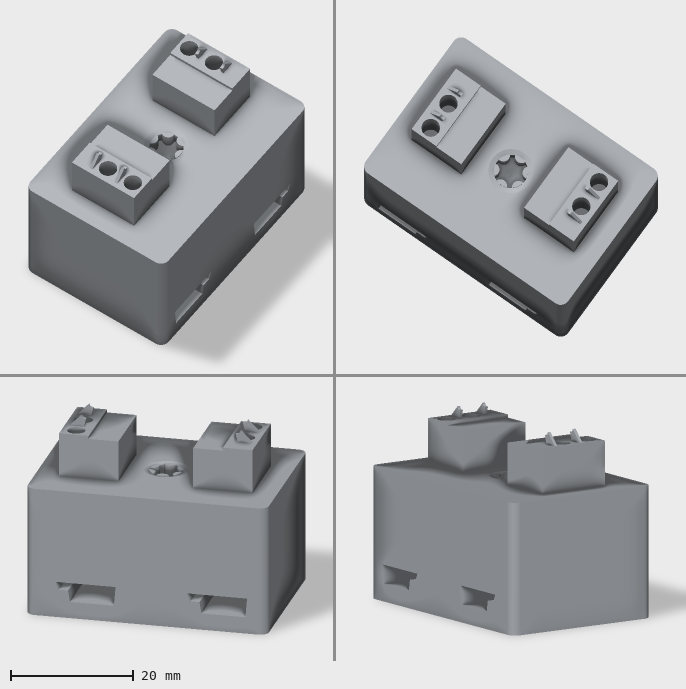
import cadquery as cq
import math

HOUSING_X = 27.7
HOUSING_Y = 40.5
TOTAL_Z = 31.5
CORNER_RADIUS = 1.5

TERMINAL_CENTER_X = -1.1
TERMINAL_CENTER_Y = 11.25
TERMINAL_X = 12.47
TERMINAL_Y = 9.95
TERMINAL_Z = 7.5
TERMINAL_STEP = 0.53
POLE_PITCH = 5.0
POLE_COUNT = 2
FIRST_HOLE_X = -5.35
WIRE_HOLE_Y = 13.8
WIRE_HOLE_RADIUS = 1.5
WIRE_HOLE_DEPTH = TERMINAL_Z

LEVER_HEIGHT = 2.0
LEVER_THICKNESS = 0.53
LEVER_OFFSET_X = 2.23
LEVER_OUTER_Y = 15.45
LEVER_INNER_Y = 13.0
LEVER_LIP_Y = 12.68
LEVER_LIP_HEIGHT = 1.4
LEVER_NOTCH_RADIUS = 0.55

HOUSING_Z = TOTAL_Z - TERMINAL_Z - LEVER_HEIGHT
TERMINAL_TOP = HOUSING_Z + TERMINAL_Z

SLOT_PITCH = 22.07
SLOT_FIRST_Y = 5.15
SLOT_BOTTOM_Z = 2.85
SLOT_SHELF_Z = 4.78
SLOT_TOP_Z = 6.1
SLOT_TOP_LENGTH = 10.1
SLOT_SHELF_OUTER = 9.5
SLOT_SHELF_INNER = 7.98
SLOT_FLOOR_OUTER = 7.65
SLOT_FLOOR_INNER = 0.3

SCREW_RADIUS = 5.02
SCREW_HEIGHT = 5.02
DISH_RADIUS = 3.7
DISH_DEPTH = 0.25
SOCKET_RADIUS = 2.8
SOCKET_DEPTH = 1.7
SOCKET_POINT_DEPTH = 1.2
LOBE_COUNT = 6
LOBE_RADIUS = 1.1
LOBE_INNER_RADIUS = 1.9
LOBE_TOP_DEPTH = 0.1


def make_lever(x):
    """One release lever with its middle plane at x, standing on a terminal block."""
    tip_y = LEVER_OUTER_Y - LEVER_HEIGHT
    lip_z = TERMINAL_TOP + LEVER_LIP_HEIGHT
    notch_y = tip_y - LEVER_NOTCH_RADIUS
    notch_mid = LEVER_NOTCH_RADIUS * math.sqrt(0.5)
    return (
        cq.Workplane("YZ", origin=(x - LEVER_THICKNESS / 2, 0, 0))
        .moveTo(LEVER_OUTER_Y, TERMINAL_TOP)
        .lineTo(tip_y, TOTAL_Z)
        .threePointArc((notch_y + notch_mid, TOTAL_Z - notch_mid), (notch_y, lip_z))
        .lineTo(LEVER_LIP_Y, lip_z)
        .lineTo(LEVER_INNER_Y, TERMINAL_TOP)
        .close()
        .extrude(LEVER_THICKNESS)
    )


def make_terminal():
    """The +Y terminal block: stepped body, blind wire holes and levers."""
    outer_y = TERMINAL_CENTER_Y + TERMINAL_Y / 2
    inner_y = TERMINAL_CENTER_Y - TERMINAL_Y / 2
    step_z = TERMINAL_TOP - TERMINAL_STEP
    terminal = (
        cq.Workplane("YZ", origin=(TERMINAL_CENTER_X - TERMINAL_X / 2, 0, 0))
        .moveTo(outer_y, HOUSING_Z)
        .lineTo(outer_y, TERMINAL_TOP)
        .lineTo(TERMINAL_CENTER_Y, TERMINAL_TOP)
        .lineTo(TERMINAL_CENTER_Y, step_z)
        .lineTo(inner_y, step_z)
        .lineTo(inner_y, HOUSING_Z)
        .close()
        .extrude(TERMINAL_X)
    )
    for pole in range(POLE_COUNT):
        hole_x = FIRST_HOLE_X + pole * POLE_PITCH
        wire_hole = (
            cq.Workplane("XY", origin=(hole_x, WIRE_HOLE_Y, TERMINAL_TOP))
            .circle(WIRE_HOLE_RADIUS)
            .extrude(-WIRE_HOLE_DEPTH)
        )
        terminal = terminal.cut(wire_hole).union(make_lever(hole_x + LEVER_OFFSET_X))
    return terminal


def make_slot(inner_top_y):
    """Stepped rail slot running through the housing along X."""
    return (
        cq.Workplane("YZ", origin=(-HOUSING_X / 2, 0, 0))
        .moveTo(inner_top_y, SLOT_TOP_Z)
        .lineTo(inner_top_y + SLOT_TOP_LENGTH, SLOT_TOP_Z)
        .lineTo(inner_top_y + SLOT_SHELF_OUTER, SLOT_SHELF_Z)
        .lineTo(inner_top_y + SLOT_SHELF_INNER, SLOT_SHELF_Z)
        .lineTo(inner_top_y + SLOT_FLOOR_OUTER, SLOT_BOTTOM_Z)
        .lineTo(inner_top_y + SLOT_FLOOR_INNER, SLOT_BOTTOM_Z)
        .close()
        .extrude(HOUSING_X)
    )


def make_screw_blank():
    """Plain cylinder filled by the screw, flush with the housing top."""
    return cq.Workplane("XY", origin=(0, 0, HOUSING_Z)).circle(SCREW_RADIUS).extrude(-SCREW_HEIGHT)


def make_housing():
    housing = (
        cq.Workplane("XY")
        .rect(HOUSING_X, HOUSING_Y)
        .extrude(HOUSING_Z)
        .edges("|Z")
        .fillet(CORNER_RADIUS)
    )
    terminal = make_terminal()
    pivot_bottom = (TERMINAL_CENTER_X, 0, 0)
    pivot_top = (TERMINAL_CENTER_X, 0, 1)
    for angle in (0, 180):
        housing = housing.union(terminal.rotate(pivot_bottom, pivot_top, angle))
    for inner_top_y in (SLOT_FIRST_Y, SLOT_FIRST_Y - SLOT_PITCH):
        housing = housing.cut(make_slot(inner_top_y))
    return housing.cut(make_screw_blank())


def make_lobes():
    """Six lobes standing in the socket, with flat tops just below the head face."""
    lobes = (
        cq.Workplane("XY", origin=(0, 0, HOUSING_Z - LOBE_TOP_DEPTH))
        .polarArray(LOBE_INNER_RADIUS + LOBE_RADIUS, 0, 360, LOBE_COUNT)
        .circle(LOBE_RADIUS)
        .extrude(-SCREW_HEIGHT)
    )
    socket_core = (
        cq.Workplane("XY", origin=(0, 0, HOUSING_Z - LOBE_TOP_DEPTH))
        .circle(SOCKET_RADIUS)
        .extrude(-SCREW_HEIGHT)
    )
    return lobes.intersect(socket_core)


def make_screw():
    """Flush head with a conical dish leading into a pointed six-lobe socket."""
    dish_floor_z = HOUSING_Z - DISH_DEPTH
    socket_floor_z = dish_floor_z - SOCKET_DEPTH
    recess = (
        cq.Workplane("XZ")
        .moveTo(0, HOUSING_Z)
        .lineTo(DISH_RADIUS, HOUSING_Z)
        .lineTo(SOCKET_RADIUS, dish_floor_z)
        .lineTo(SOCKET_RADIUS, socket_floor_z)
        .lineTo(0, socket_floor_z - SOCKET_POINT_DEPTH)
        .close()
        .revolve(360, (0, 0, 0), (0, 1, 0))
    )
    return make_screw_blank().cut(recess.cut(make_lobes()))


housing = make_housing()
screw = make_screw()

result = cq.Compound.makeCompound([housing.val(), screw.val()])